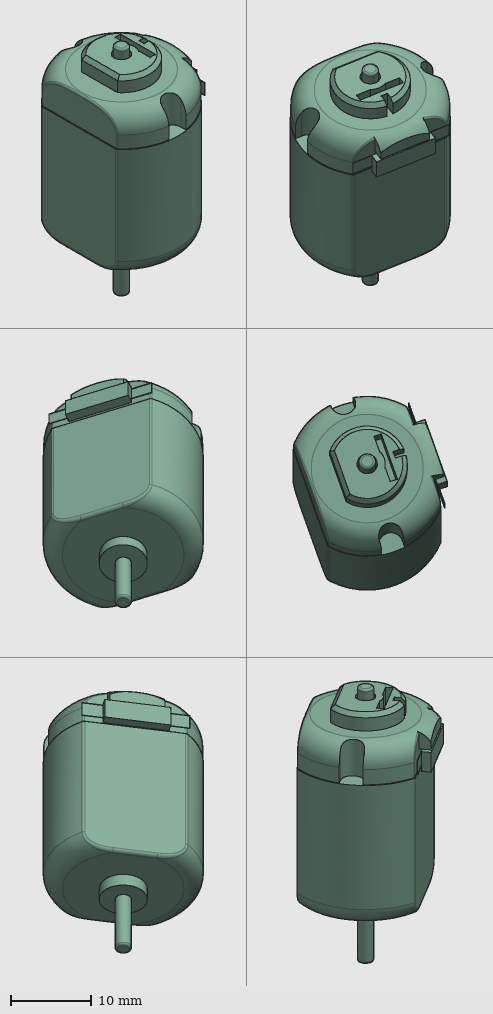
import cadquery as cq

can_height = 19.6
joint_gap = 0.08
cap_height = 5.1
boss_height = 2.4
bearing_length = 1.67
shaft_top_reach = 1.4
shaft_bottom_reach = 7.75
cap_bottom = can_height + joint_gap
cap_top = cap_bottom + cap_height
boss_top = cap_top + boss_height
shaft_top = boss_top + shaft_top_reach
shaft_bottom = -bearing_length - shaft_bottom_reach

can_width = 20.0
can_radius = can_width / 2
can_flat = 7.52
can_bottom_round = 2.43
can_edge_round = 0.5
bearing_radius = 3.0
shaft_radius = 1.03
shaft_end_round = 0.3

cap_radius = 9.95
cap_flat = 7.45
cap_top_round = 2.95
cap_edge_round = 0.3
shaft_hole_radius = 1.25

notch_half_width = 1.52
notch_inner_x = 7.5

boss_radius = 5.0
boss_flat = 3.87
boss_chamfer = 0.57
key_width = 0.87
key_inner_y = 3.57
slot_length = 6.15
slot_inner_y = 1.97
slot_outer_y = 2.92
slot_hub_radius = 2.25

hook_width = 7.0
hook_outer_y = 8.93
bracket_drop = 2.6
bar_width = 8.45
bar_outer_y = 9.1
bar_inner_y = 7.9
bar_height = 2.75
strip_width = 13.75
strip_height = 1.95
strip_thickness = 0.08
bracket_top = cap_top - bracket_drop

tolerance = 0.005


def box_between(width, y_min, y_max, z_min, z_max):
    """A block centred on X = 0 between the given Y and Z limits."""
    block = cq.Workplane("XY").box(width, y_max - y_min, z_max - z_min, centered=(True, False, False))
    return block.translate((0, y_min, z_min))


def cylinder(radius, z_min, z_max):
    """An upright cylinder on the motor axis."""
    return cq.Workplane("XY").workplane(offset=z_min).circle(radius).extrude(z_max - z_min)


def cut_flats(body, flat, z_min, z_max):
    """Cut flats on the front and back of a round body, leaving the hook that crosses the back flat."""
    width = 2 * can_radius
    front = box_between(width, -can_radius, -flat, z_min, z_max)
    back = box_between(width, flat, can_radius, z_min, z_max)
    hook = box_between(hook_width, flat, hook_outer_y, bracket_top, cap_top)
    return body.cut(front).cut(back.cut(hook))


def is_rounded(edge, flat, joint_z):
    """True for an edge of a flat, unless it lies in the joint face or borders the hook."""
    bounds = edge.BoundingBox()
    on_flat = max(abs(abs(bounds.ymin) - flat), bounds.ylen) < tolerance
    in_joint = max(abs(bounds.zmin - joint_z), abs(bounds.zmax - joint_z)) < tolerance
    reach_x = max(abs(bounds.xmin), abs(bounds.xmax))
    within_hook_width = reach_x < hook_width / 2 + tolerance
    on_hook = bounds.ymin > 0 and bounds.zmin > bracket_top - tolerance and within_hook_width
    return on_flat and not in_joint and not on_hook


def round_flat_edges(body, flat, joint_z, edge_round):
    """Round the edges where the flats meet the round sides and the domed end."""
    return body.edges().filter(lambda edge: is_rounded(edge, flat, joint_z)).fillet(edge_round)


def make_can():
    """The can with its bearing collar and the shaft that passes up through the cap."""
    can = cylinder(can_radius, 0, can_height).faces("<Z").edges().fillet(can_bottom_round)
    can = cut_flats(can, can_flat, 0, can_height)
    can = round_flat_edges(can, can_flat, can_height, can_edge_round)
    bearing = cylinder(bearing_radius, -bearing_length, 0)
    shaft = cylinder(shaft_radius, shaft_bottom, shaft_top).faces("<Z or >Z").edges().fillet(shaft_end_round)
    return can.union(bearing).union(shaft)


def make_dome():
    """The round cap before its flats are cut."""
    return cylinder(cap_radius, cap_bottom, cap_top).faces(">Z").edges().fillet(cap_top_round)


def make_boss():
    """The raised boss with one flat, a chamfered top, a key slot and a slot that bends round the hub."""
    boss = cylinder(boss_radius, cap_top, boss_top)
    boss = boss.intersect(box_between(2 * boss_radius, -boss_flat, boss_radius, cap_top, boss_top))
    boss = boss.faces(">Z").edges().chamfer(boss_chamfer)
    key_slot = box_between(key_width, key_inner_y, boss_radius, cap_top, boss_top)
    slot = box_between(slot_length, slot_inner_y, slot_outer_y, cap_top, boss_top)
    slot = slot.cut(cylinder(slot_hub_radius, cap_top, boss_top))
    return boss.cut(key_slot).cut(slot)


def make_side_notch(side):
    """An upright notch that opens outward on the side given by -1 or +1."""
    round_x = notch_inner_x + notch_half_width
    return (
        cq.Workplane("XY")
        .workplane(offset=cap_bottom)
        .moveTo(side * can_radius, -notch_half_width)
        .lineTo(side * round_x, -notch_half_width)
        .threePointArc((side * notch_inner_x, 0), (side * round_x, notch_half_width))
        .lineTo(side * can_radius, notch_half_width)
        .close()
        .extrude(cap_height)
    )


def make_bracket_bar():
    """The cross bar under the hook with the thin strip on its inner face."""
    bar = box_between(bar_width, bar_inner_y, bar_outer_y, bracket_top - bar_height, bracket_top)
    strip_inner_y = bar_inner_y - strip_thickness
    strip = box_between(strip_width, strip_inner_y, bar_inner_y, bracket_top - strip_height, bracket_top)
    return bar.union(strip)


def make_cap():
    """The end cap with its hook, boss, bracket bar, side notches and clearance hole for the shaft."""
    cap = cut_flats(make_dome(), cap_flat, cap_bottom, cap_top)
    cap = round_flat_edges(cap, cap_flat, cap_bottom, cap_edge_round)
    cap = cap.union(make_boss()).union(make_bracket_bar())
    for side in (-1, 1):
        cap = cap.cut(make_side_notch(side))
    return cap.cut(cylinder(shaft_hole_radius, cap_bottom, boss_top))


can = make_can()
cap = make_cap()
result = cq.Compound.makeCompound([can.solids().val(), cap.solids().val()])